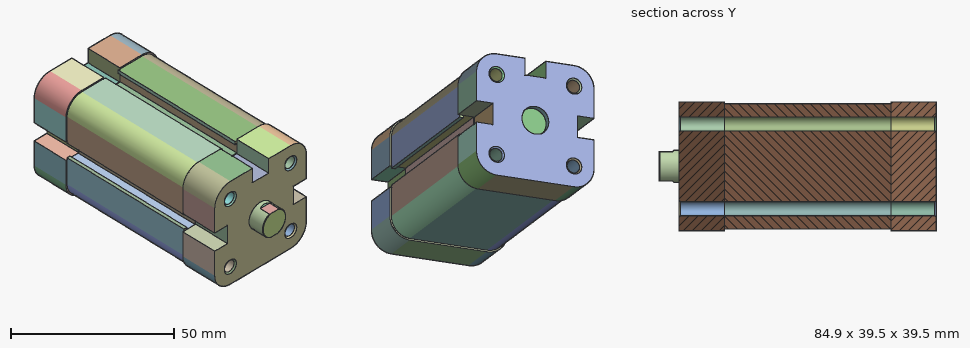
import cadquery as cq
import math


CAP_LENGTH = 13.9
TUBE_LENGTH = 51.1
ROD_PROJECTION = 6.0
TUBE_START = CAP_LENGTH
TUBE_END = TUBE_START + TUBE_LENGTH
BODY_END = TUBE_END + CAP_LENGTH
ROD_END = BODY_END + ROD_PROJECTION

CAP_WIDTH = 39.5
CAP_CORNER_RADIUS = 6.8
TUBE_INSET = 0.5
TUBE_WIDTH = CAP_WIDTH - 2 * TUBE_INSET
TUBE_CORNER_RADIUS = CAP_CORNER_RADIUS - TUBE_INSET

SLOT_ANGLES = (0, 90, -90)
SLOT_WIDTH = 7.0
CAP_SLOT_DEPTH = 5.5
SLOT_FLOOR_STEP = 0.25
LIP_GAP = 5.5
LIP_THICKNESS = 1.3
CAP_FLOOR_HEIGHT = CAP_WIDTH / 2 - CAP_SLOT_DEPTH
TUBE_FLOOR_HEIGHT = CAP_FLOOR_HEIGHT + SLOT_FLOOR_STEP
LIP_UNDERSIDE_HEIGHT = TUBE_WIDTH / 2 - LIP_THICKNESS

HOLE_SPACING = 26.0
HOLE_DIAMETER = 4.2
HOLE_CHAMFER = 0.5

RECESS_DIAMETER = 9.0
RECESS_DEPTH = 2.0

ROD_DIAMETER = 9.95
ROD_END_CHAMFER = 0.2
FLAT_SPACING = 9.1
COLLAR_LENGTH = 1.5
FLAT_RAMP_START = BODY_END + COLLAR_LENGTH
FLAT_RAMP_RISE = (ROD_DIAMETER - FLAT_SPACING) / 2


def plane_at(x):
    """Plane across the cylinder: local x is +Y, local y is +Z and the normal is +X."""
    return cq.Workplane("YZ", origin=(x, 0, 0))


def rounded_bar(start, length, width, corner_radius):
    return plane_at(start).rect(width, width).extrude(length).edges("|X").fillet(corner_radius)


def slot_cutters(start, length, width, floor_height, top_height):
    """One cutter for each slotted side, spanning the given heights above the X axis."""
    depth = top_height - floor_height
    cutter = plane_at(start).center(0, floor_height + depth / 2).rect(width, depth).extrude(length)
    return [cutter.rotate((0, 0, 0), (1, 0, 0), angle) for angle in SLOT_ANGLES]


def cut_all(body, cutters):
    for cutter in cutters:
        body = body.cut(cutter)
    return body


def mounting_holes(start, length):
    centres = plane_at(start).rect(HOLE_SPACING, HOLE_SPACING, forConstruction=True).vertices()
    return centres.circle(HOLE_DIAMETER / 2).extrude(length)


def is_hole_rim(edge):
    return edge.geomType() == "CIRCLE" and math.isclose(edge.radius(), HOLE_DIAMETER / 2)


def make_cap(start, outer_face):
    """Body shared by both caps: three plain slots, and holes chamfered at the outer face."""
    cap = rounded_bar(start, CAP_LENGTH, CAP_WIDTH, CAP_CORNER_RADIUS)
    cap = cut_all(cap, slot_cutters(start, CAP_LENGTH, SLOT_WIDTH, CAP_FLOOR_HEIGHT, CAP_WIDTH / 2))
    cap = cap.cut(mounting_holes(start, CAP_LENGTH))
    hole_rims = [edge for edge in cap.faces(outer_face).edges().vals() if is_hole_rim(edge)]
    return cap.newObject(hole_rims).chamfer(HOLE_CHAMFER)


def make_rear_cap():
    recess = plane_at(0).circle(RECESS_DIAMETER / 2).extrude(RECESS_DEPTH)
    return make_cap(0, "<X").cut(recess)


def make_front_cap():
    rod_bore = plane_at(TUBE_END).circle(ROD_DIAMETER / 2).extrude(CAP_LENGTH)
    return make_cap(TUBE_END, ">X").cut(rod_bore)


def make_tube():
    """Profile tube whose slots are narrowed at the mouth by a lip on each side."""
    tube = rounded_bar(TUBE_START, TUBE_LENGTH, TUBE_WIDTH, TUBE_CORNER_RADIUS)
    channels = slot_cutters(TUBE_START, TUBE_LENGTH, SLOT_WIDTH, TUBE_FLOOR_HEIGHT, LIP_UNDERSIDE_HEIGHT)
    mouths = slot_cutters(TUBE_START, TUBE_LENGTH, LIP_GAP, LIP_UNDERSIDE_HEIGHT, TUBE_WIDTH / 2)
    return cut_all(tube, channels + mouths).cut(mounting_holes(TUBE_START, TUBE_LENGTH))


def make_rod():
    """Round rod from the inner face of the front cap, through its bore, to the flatted end."""
    rod = plane_at(TUBE_END).circle(ROD_DIAMETER / 2).extrude(ROD_END - TUBE_END)
    rod = rod.faces(">X").chamfer(ROD_END_CHAMFER)
    top_flat = (
        cq.Workplane("XZ")
        .moveTo(FLAT_RAMP_START, ROD_DIAMETER / 2)
        .lineTo(FLAT_RAMP_START + FLAT_RAMP_RISE, FLAT_SPACING / 2)
        .lineTo(ROD_END, FLAT_SPACING / 2)
        .lineTo(ROD_END, ROD_DIAMETER / 2)
        .close()
        .extrude(ROD_DIAMETER / 2, both=True)
    )
    return rod.cut(top_flat).cut(top_flat.mirror("XY"))


rear_cap = make_rear_cap()
tube = make_tube()
front_cap = make_front_cap()
rod = make_rod()

result = cq.Compound.makeCompound([rear_cap.val(), tube.val(), front_cap.val(), rod.val()])